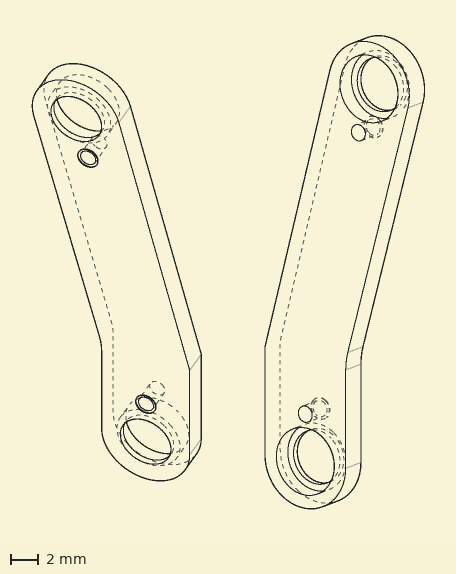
import cadquery as cq
import math

length = 35.5
thickness = 2.0
end_diameter = 7.0
end_radius = end_diameter / 2
bend_height = 8.0
inner_bend_radius = 5.0

pivot_offset_x = -5.5
pivot_offset_z = length - end_diameter

pivot_hole_diameter = 4.0
pivot_recess_diameter = 5.0
pivot_lip_thickness = 0.5
pin_hole_diameter = 1.2
pin_rim_diameter = 1.6
pin_rim_depth = 0.07
pin_spacing = 3.5

lower_pivot = (0.0, 0.0)
upper_pivot = (pivot_offset_x, pivot_offset_z)


def around_upper(radius, angle):
    """Point at a radius and an angle from +X, in radians, about the upper pivot."""
    return (
        upper_pivot[0] + radius * math.cos(angle),
        upper_pivot[1] + radius * math.sin(angle),
    )


def tangent_angle(side):
    """Where the edge from a bend corner touches the upper end: side -1 is left, +1 right."""
    run_x = side * end_radius - upper_pivot[0]
    run_z = bend_height - upper_pivot[1]
    turn = math.acos(end_radius / math.hypot(run_x, run_z))
    return math.atan2(run_z, run_x) + side * turn


leg_direction = math.atan2(bend_height - pivot_offset_z, -pivot_offset_x)


def make_blank():
    left_corner = (-end_radius, bend_height)
    blank = (
        cq.Workplane("XZ")
        .moveTo(-end_radius, 0)
        .threePointArc((0, -end_radius), (end_radius, 0))
        .lineTo(end_radius, bend_height)
        .lineTo(*around_upper(end_radius, tangent_angle(1)))
        .threePointArc(
            around_upper(-end_radius, leg_direction),
            around_upper(end_radius, tangent_angle(-1)),
        )
        .lineTo(*left_corner)
        .close()
        .extrude(-thickness)
    )
    inner_bend = cq.selectors.NearestToPointSelector((left_corner[0], thickness / 2, left_corner[1]))
    return blank.edges("|Y").edges(inner_bend).fillet(inner_bend_radius)


def cylinders(centers, diameter, start=0.0, end=thickness):
    """Cutting cylinders between two depths measured from the front face."""
    plane = cq.Workplane("XZ", origin=(0, start, 0))
    return plane.pushPoints(centers).circle(diameter / 2).extrude(start - end)


pivots = [lower_pivot, upper_pivot]
pins = [(0.0, pin_spacing), around_upper(pin_spacing, leg_direction)]

result = (
    make_blank()
    .cut(cylinders(pivots, pivot_hole_diameter))
    .cut(cylinders(pivots, pivot_recess_diameter, pivot_lip_thickness))
    .cut(cylinders(pins, pin_hole_diameter))
    .cut(cylinders(pins, pin_rim_diameter, end=pin_rim_depth))
)